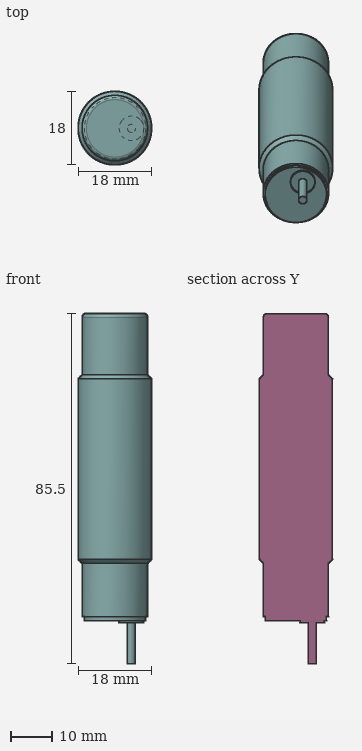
import cadquery as cq

overall_length = 85.5
barrel_diameter = 16.0
barrel_top_fillet = 1.0

sleeve_diameter = 18.0
sleeve_length = 46.0
sleeve_chamfer = (sleeve_diameter - barrel_diameter) / 2
sleeve_top_depth = 15.0

cap_diameter = 15.0
cap_height = 1.0
collar_diameter = 6.0
collar_height = 0.5
pin_diameter = 2.0
pin_length = 10.0
pin_offset_x = 4.0

cap_bottom = 0.0
barrel_bottom = cap_bottom + cap_height
barrel_top = overall_length - pin_length - collar_height
sleeve_bottom = barrel_top - sleeve_top_depth - sleeve_length
collar_bottom = cap_bottom - collar_height
pin_bottom = collar_bottom - pin_length


def cylinder(diameter, bottom, top, center_x=0.0):
    """Vertical cylinder between two levels, shifted along X."""
    base = cq.Workplane("XY", origin=(center_x, 0, bottom))
    return base.circle(diameter / 2).extrude(top - bottom)


def make_barrel():
    """Slim cylinder with a rounded top edge."""
    barrel = cylinder(barrel_diameter, barrel_bottom, barrel_top)
    return barrel.faces(">Z").edges().fillet(barrel_top_fillet)


def make_sleeve():
    """Thick middle section, chamfered down to the barrel at both ends."""
    blank = cylinder(sleeve_diameter, sleeve_bottom, sleeve_bottom + sleeve_length)
    return blank.faces("<Z or >Z").edges().chamfer(sleeve_chamfer)


def make_bottom_end():
    """End cap with the collar and pin hanging below it."""
    cap = cylinder(cap_diameter, cap_bottom, barrel_bottom)
    collar = cylinder(collar_diameter, collar_bottom, cap_bottom, pin_offset_x)
    pin = cylinder(pin_diameter, pin_bottom, collar_bottom, pin_offset_x)
    return cap.union(collar).union(pin)


result = make_barrel().union(make_sleeve()).union(make_bottom_end())